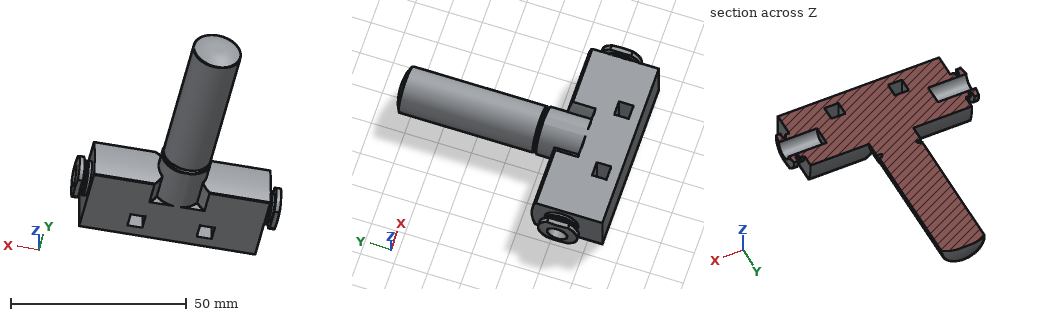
import cadquery as cq
import math

body_length = 51.2
body_height = 14.0
body_depth = 21.2
back_radius = 23.0
back_edge_chamfer = 0.2

window_size = 4.3
window_spacing = 20.15
window_y = 5.35

boss_diameter = 14.2
boss_end_y = 26.1
boss_chamfer = 0.2

recess_width = 16.0
recess_start_y = 13.15
recess_wall_radius = 10.0
recess_foot_z = 4.0

handle_diameter = 13.8
handle_start_y = 27.1
barrel_end_y = 67.1
crown_start_y = 67.25
crown_edge_diameter = 13.5
handle_end_y = 68.6
crown_diameter = 4.0
neck_diameter = 11.2
neck_end_y = 26.6
flare_diameter = 12.2

port_y = 12.2
port_length = 4.1
collar_diameter = 10.0
collar_straight = 0.9
collar_end = 1.4
collar_end_diameter = 9.5
groove_diameter = 8.1
flange_start = 2.25
flange_straight_end = 3.7
flange_diameter = 11.8
flange_flats = 10.0
rim_diameter = 7.2
bore_diameter = 6.0
bore_depth = 12.0

half_height = body_height / 2
boss_radius = boss_diameter / 2


def make_body():
    """Block with a back face that is an arc over the height."""
    back_centre_y = body_depth - back_radius
    corner_y = back_centre_y + math.sqrt(back_radius**2 - half_height**2)
    return (
        cq.Workplane("YZ")
        .moveTo(0, -half_height)
        .lineTo(corner_y, -half_height)
        .threePointArc((body_depth, 0), (corner_y, half_height))
        .lineTo(0, half_height)
        .close()
        .extrude(body_length / 2, both=True)
        .edges("|X and (not <Y)")
        .chamfer(back_edge_chamfer)
    )


def make_recess(x_side, z_side):
    """Cutter for one corner beside the boss: its outer wall bulges towards the boss."""
    top = (recess_width / 2, half_height)
    foot = (math.sqrt(boss_radius**2 - recess_foot_z**2), recess_foot_z)
    chord_x = top[0] - foot[0]
    chord_z = top[1] - foot[1]
    chord = math.hypot(chord_x, chord_z)
    bulge = recess_wall_radius - math.sqrt(recess_wall_radius**2 - (chord / 2) ** 2)
    wall_middle = (
        (top[0] + foot[0]) / 2 - bulge * chord_z / chord,
        (top[1] + foot[1]) / 2 + bulge * chord_x / chord,
    )

    def placed(point):
        return (x_side * point[0], z_side * point[1])

    return (
        cq.Workplane("XZ", origin=(0, recess_start_y, 0))
        .moveTo(*placed((0, half_height)))
        .lineTo(*placed(top))
        .threePointArc(placed(wall_middle), placed(foot))
        .lineTo(*placed((0, recess_foot_z)))
        .close()
        .extrude(-body_depth)
    )


def make_boss():
    """Round boss, trimmed flush with the body's top and bottom."""
    boss = (
        cq.Workplane("XZ", origin=(0, port_y, 0))
        .circle(boss_radius)
        .extrude(port_y - boss_end_y)
        .faces(">Y")
        .chamfer(boss_chamfer)
    )
    trim = cq.Workplane("XY").box(boss_diameter, 2 * boss_end_y, body_height)
    return boss.intersect(trim)


def make_handle():
    """Neck and crowned grip, turned about the Y axis."""
    handle_radius = handle_diameter / 2
    crown_edge_radius = crown_edge_diameter / 2
    crown_radius = crown_diameter / 2
    crown_height = handle_end_y - crown_start_y
    crown_width = crown_edge_radius - crown_radius
    arc_radius = (crown_width**2 + crown_height**2) / (2 * crown_height)
    half_sweep = math.asin(crown_width / arc_radius) / 2
    middle = (
        crown_radius + arc_radius * math.sin(half_sweep),
        handle_end_y - arc_radius * (1 - math.cos(half_sweep)),
    )
    return (
        cq.Workplane("XY")
        .moveTo(0, port_y)
        .lineTo(neck_diameter / 2, port_y)
        .lineTo(neck_diameter / 2, neck_end_y)
        .lineTo(flare_diameter / 2, handle_start_y)
        .lineTo(handle_radius, handle_start_y)
        .lineTo(handle_radius, barrel_end_y)
        .lineTo(crown_edge_radius, crown_start_y)
        .threePointArc(middle, (crown_radius, handle_end_y))
        .lineTo(0, handle_end_y)
        .close()
        .revolve(360, (0, 0, 0), (0, 1, 0))
    )


def make_port():
    """Port on the +X end: grooved collar and a flange with two flats."""
    face_x = body_length / 2
    port = (
        cq.Workplane("XY")
        .moveTo(face_x - bore_depth, 0)
        .lineTo(face_x - bore_depth, groove_diameter / 2)
        .lineTo(face_x, groove_diameter / 2)
        .lineTo(face_x, collar_diameter / 2)
        .lineTo(face_x + collar_straight, collar_diameter / 2)
        .lineTo(face_x + collar_end, collar_end_diameter / 2)
        .lineTo(face_x + collar_end, groove_diameter / 2)
        .lineTo(face_x + flange_start, groove_diameter / 2)
        .lineTo(face_x + flange_start, flange_diameter / 2)
        .lineTo(face_x + flange_straight_end, flange_diameter / 2)
        .lineTo(face_x + port_length, rim_diameter / 2)
        .lineTo(face_x + port_length, 0)
        .close()
        .revolve(360, (0, 0, 0), (1, 0, 0))
    )
    flats = cq.Workplane("XY").box(2 * body_length, flange_diameter, flange_flats)
    return port.intersect(flats).translate((0, port_y, 0))


def make_bore():
    """Blind bore of the port on the +X end."""
    return (
        cq.Workplane("YZ", origin=(body_length / 2 + port_length, port_y, 0))
        .circle(bore_diameter / 2)
        .extrude(-bore_depth)
    )


def make_windows():
    """Pair of square cutters through the full height of the body."""
    return (
        cq.Workplane("XY")
        .pushPoints([(-window_spacing / 2, window_y), (window_spacing / 2, window_y)])
        .rect(window_size, window_size)
        .extrude(body_height, both=True)
    )


body = make_body()
for x_side in (-1, 1):
    for z_side in (-1, 1):
        body = body.cut(make_recess(x_side, z_side))

result = body.union(make_boss()).union(make_handle())

port = make_port()
bore = make_bore()
result = result.union(port).union(port.mirror("YZ"))
result = result.cut(bore).cut(bore.mirror("YZ"))
result = result.cut(make_windows())